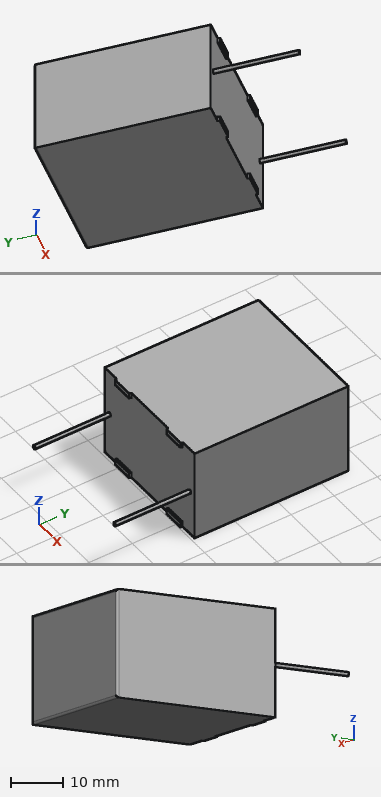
import cadquery as cq

WIDTH = 30.8
OVERALL_DEPTH = 53.3
HEIGHT = 21.3

LEAD_LENGTH = 17.45
CASE_DEPTH = OVERALL_DEPTH - LEAD_LENGTH
BACK_FILLET = 0.5

FOOT_ROOT_WIDTH = 5.05
FOOT_TIP_WIDTH = 4.8
FOOT_HEIGHT = 1.2
FOOT_PROJECTION = 0.4
FOOT_PITCH = 17.6

LEAD_DIAMETER = 0.85
LEAD_PITCH = 27.5


def make_foot():
    """Low foot standing on Y = 0 with its two ends tapering toward the tip."""
    return (
        cq.Workplane("XY")
        .polyline(
            [
                (-FOOT_ROOT_WIDTH / 2, 0),
                (-FOOT_TIP_WIDTH / 2, -FOOT_PROJECTION),
                (FOOT_TIP_WIDTH / 2, -FOOT_PROJECTION),
                (FOOT_ROOT_WIDTH / 2, 0),
            ]
        )
        .close()
        .extrude(FOOT_HEIGHT)
    )


def make_case():
    """Box with its lead face on Y = 0, rounded back edges and four standoff feet."""
    case = (
        cq.Workplane("XY")
        .box(WIDTH, CASE_DEPTH, HEIGHT, centered=(True, False, True))
        .faces(">Y")
        .edges()
        .fillet(BACK_FILLET)
    )
    for x in (-FOOT_PITCH / 2, FOOT_PITCH / 2):
        for bottom in (-HEIGHT / 2, HEIGHT / 2 - FOOT_HEIGHT):
            case = case.union(make_foot().translate((x, 0, bottom)))
    return case


def make_lead(x):
    """Straight round wire that starts on the lead face and runs toward -Y."""
    return cq.Workplane("XZ").center(x, 0).circle(LEAD_DIAMETER / 2).extrude(LEAD_LENGTH)


case = make_case()
leads = [make_lead(side * LEAD_PITCH / 2) for side in (-1, 1)]

result = cq.Compound.makeCompound([case.val(), *[lead.val() for lead in leads]])